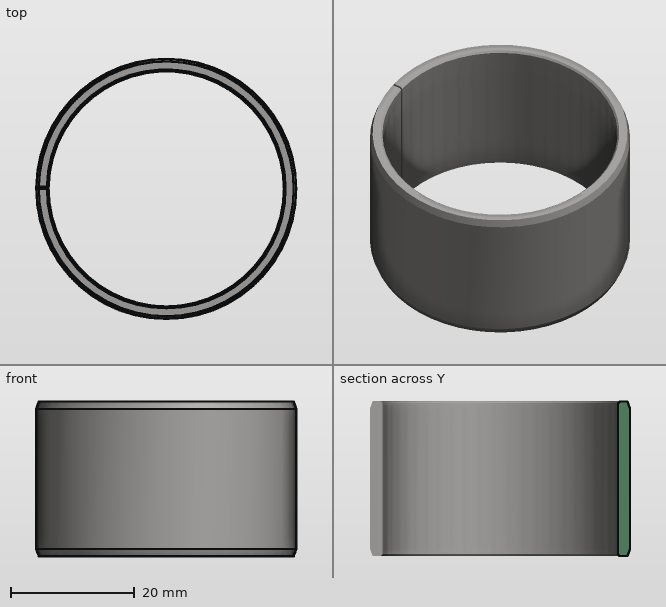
import cadquery as cq
import math

outer_diameter = 42.0
wall = 2.0
height = 25.0
outer_chamfer_height = 1.18
outer_chamfer_angle = 20.0
inner_chamfer = 0.3
slit_width = 0.35

outer_radius = outer_diameter / 2
inner_radius = outer_radius - wall
outer_chamfer_depth = outer_chamfer_height * math.tan(math.radians(outer_chamfer_angle))


def bushing_ring():
    """Revolve the wall section, with lead-in chamfers at both ends, around Z."""
    section = (
        cq.Workplane("XZ")
        .moveTo(inner_radius + inner_chamfer, 0)
        .lineTo(outer_radius - outer_chamfer_depth, 0)
        .lineTo(outer_radius, outer_chamfer_height)
        .lineTo(outer_radius, height - outer_chamfer_height)
        .lineTo(outer_radius - outer_chamfer_depth, height)
        .lineTo(inner_radius + inner_chamfer, height)
        .lineTo(inner_radius, height - inner_chamfer)
        .lineTo(inner_radius, inner_chamfer)
        .close()
    )
    return section.revolve(360, (0, 0, 0), (0, 1, 0))


def slit():
    """Full-height butt joint gap through the wall on the -X side, with one face on the XZ plane."""
    return cq.Workplane("XY").box(
        outer_radius, slit_width, height, centered=False
    ).translate((-outer_radius, 0, 0))


result = bushing_ring().cut(slit())